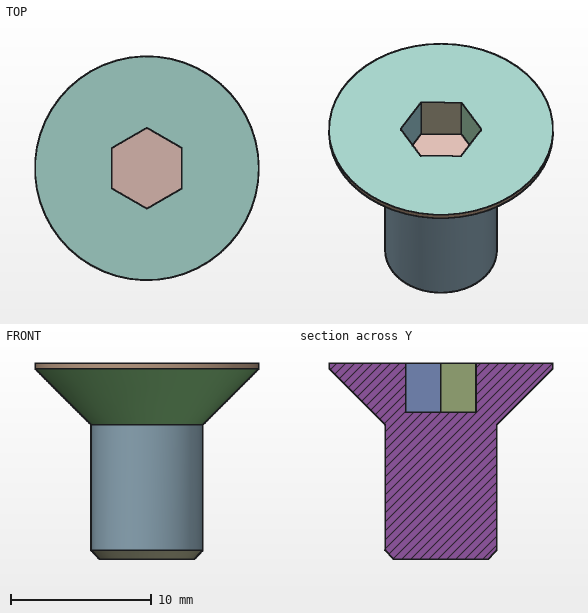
import cadquery as cq
import math

total_length = 14.0
shank_diameter = 8.0
head_diameter = 16.0
rim_height = 0.39
tip_chamfer_radial = 0.61
tip_chamfer_height = 0.65
socket_sides = 6
socket_across_flats = 5.0
socket_depth = 3.5

head_radius = head_diameter / 2
shank_radius = shank_diameter / 2
cone_height = head_radius - shank_radius
rim_bottom = total_length - rim_height
cone_bottom = rim_bottom - cone_height


def make_body():
    """Revolve the half profile of tip, shank, cone and rim about Z."""
    profile = [
        (0, 0),
        (shank_radius - tip_chamfer_radial, 0),
        (shank_radius, tip_chamfer_height),
        (shank_radius, cone_bottom),
        (head_radius, rim_bottom),
        (head_radius, total_length),
        (0, total_length),
    ]
    outline = cq.Workplane("XZ").polyline(profile).close()
    return outline.revolve(360, (0, 0, 0), (0, 1, 0))


def make_socket():
    """Hexagonal drive socket with two corners on the Y axis."""
    across_corners = socket_across_flats / math.cos(math.pi / socket_sides)
    prism = cq.Workplane("XY").polygon(socket_sides, across_corners).extrude(socket_depth)
    turned = prism.rotate((0, 0, 0), (0, 0, 1), 180 / socket_sides)
    return turned.translate((0, 0, total_length - socket_depth))


result = make_body().cut(make_socket())